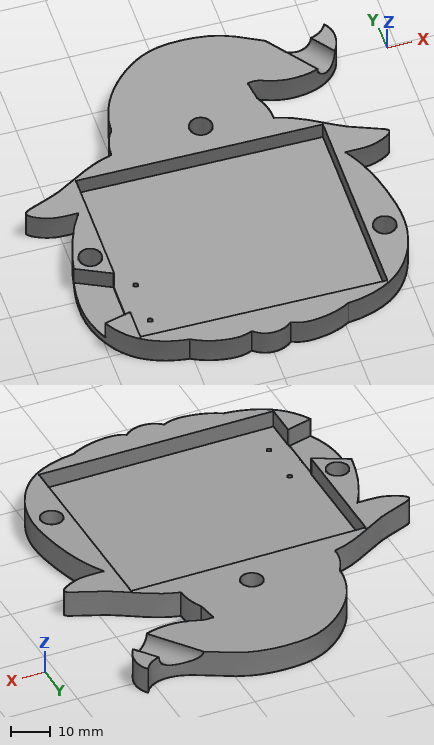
import cadquery as cq


thickness = 7.4
overall_width = 95.7
overall_height = 101.4
brim_tip = overall_width / 2

centre_lobe_corner = (5.2, 2.0)
side_lobe_corner = (20.9, 4.0)
brim_underside_corner = (35.2, 53.0)
brim_hat_corner = (21.4, 69.4)

side_lobe_points = [(7.5, 1.2), (12.7, 1.2), (17.6, 2.4)]
body_points = [(26.0, 4.9), (34.7, 9.1), (40.2, 16.5), (42.6, 25.1), (41.7, 36.0), (39.0, 45.4)]
brim_points = [
    (39.0, 53.0),
    (44.6, 54.1),
    (brim_tip, 56.8),
    (45.4, 58.3),
    (38.5, 61.0),
    (29.7, 66.1),
]

right_band_middle = (20.7, 74.0)
right_band_top = (19.3, 77.1)
horn_root = (18.5, 82.5)
horn_lower_points = [(20.9, 82.7), (24.8, 81.5), (30.4, 80.8), (37.5, 82.3), (42.7, 86.6), (44.3, 91.2)]
horn_tip = (42.8, 96.0)
hat_top_points = [
    (40.4, 93.5),
    (35.3, 92.2),
    (25.5, 95.8),
    (16.2, 100.1),
    (7.1, overall_height),
    (-2.0, 100.1),
    (-10.6, 94.7),
    (-16.6, 86.8),
]
left_band_top = (-19.0, 77.4)
left_band_middle = (-20.7, 74.0)

pocket_width = 65.1
pocket_height = 55.2
pocket_bottom = 8.4
pocket_depth = 4.8

opening_depth = 5.3
sill_width = 0.2
opening_inner_top = 30.9
opening_inner_bottom = 17.1
opening_outer_x = -44.6
opening_outer_top = 36.7
opening_outer_bottom = 14.1

mounting_hole_diameter = 6.0
mounting_hole_centres = [(2.9, 72.1), (-36.7, 37.8), (37.4, 26.6)]
wire_hole_diameter = 1.2
wire_hole_x = -27.3
wire_hole_heights = [17.1, 29.6]

groove_radius = 3.8
groove_centre = (30.3, 96.8)
groove_direction = (0.6, -0.8)
groove_length = 50.7


def mirrored(point):
    return (-point[0], point[1])


def mirrored_back(points):
    """Mirror a run of points to the left half and reverse it to keep the outline direction."""
    return [mirrored(point) for point in reversed(points)]


def make_plate():
    outline = (
        cq.Workplane("XY")
        .moveTo(*mirrored(centre_lobe_corner))
        .threePointArc((0, 0), centre_lobe_corner)
        .spline(side_lobe_points + [side_lobe_corner], includeCurrent=True)
        .spline(body_points + [brim_underside_corner], includeCurrent=True)
        .spline(brim_points + [brim_hat_corner], includeCurrent=True)
        .threePointArc(right_band_middle, right_band_top)
        .lineTo(*horn_root)
        .spline(horn_lower_points + [horn_tip], includeCurrent=True)
        .spline(hat_top_points + [left_band_top], includeCurrent=True)
        .threePointArc(left_band_middle, mirrored(brim_hat_corner))
        .spline(mirrored_back(brim_points) + [mirrored(brim_underside_corner)], includeCurrent=True)
        .spline(mirrored_back(body_points) + [mirrored(side_lobe_corner)], includeCurrent=True)
        .spline(mirrored_back(side_lobe_points) + [mirrored(centre_lobe_corner)], includeCurrent=True)
        .close()
    )
    return outline.extrude(thickness)


def make_pocket():
    return (
        cq.Workplane("XY")
        .workplane(offset=thickness - pocket_depth)
        .center(0, pocket_bottom + pocket_height / 2)
        .rect(pocket_width, pocket_height)
        .extrude(pocket_depth)
    )


def make_side_opening():
    """A flared cut, with a narrow sill left at pocket-floor level along the pocket wall."""
    pocket_wall_x = -pocket_width / 2
    flare_inner_x = pocket_wall_x - sill_width
    flare_corners = [
        (flare_inner_x, opening_inner_top),
        (opening_outer_x, opening_outer_top),
        (opening_outer_x, opening_outer_bottom),
        (flare_inner_x, opening_inner_bottom),
    ]
    flare = (
        cq.Workplane("XY")
        .workplane(offset=thickness - opening_depth)
        .polyline(flare_corners)
        .close()
        .extrude(opening_depth)
    )
    above_sill = (
        cq.Workplane("XY")
        .workplane(offset=thickness - pocket_depth)
        .moveTo(flare_inner_x, opening_inner_bottom)
        .lineTo(pocket_wall_x, opening_inner_bottom)
        .lineTo(pocket_wall_x, opening_inner_top)
        .lineTo(flare_inner_x, opening_inner_top)
        .close()
        .extrude(pocket_depth)
    )
    return flare.union(above_sill)


def make_holes(diameter, centres):
    return cq.Workplane("XY").pushPoints(centres).circle(diameter / 2).extrude(thickness)


def make_horn_groove():
    axis = cq.Vector(*groove_direction, 0)
    start = cq.Vector(*groove_centre, thickness) - axis * (groove_length / 2)
    return cq.Workplane(cq.Solid.makeCylinder(groove_radius, groove_length, start, axis))


wire_hole_centres = [(wire_hole_x, height) for height in wire_hole_heights]

result = (
    make_plate()
    .cut(make_pocket())
    .cut(make_side_opening())
    .cut(make_holes(mounting_hole_diameter, mounting_hole_centres))
    .cut(make_holes(wire_hole_diameter, wire_hole_centres))
    .cut(make_horn_groove())
)